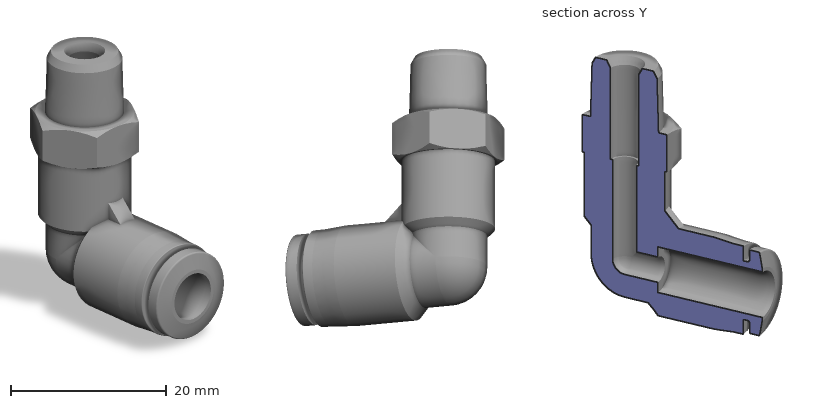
import cadquery as cq
import math


overall_height = 34.3
port_radius = 13.0 / 2

elbow_radius = 10.0 / 2
bore_radius = 3.5 / 2

sleeve_radius = 12 / 2
sleeve_cone_start = 4.0
sleeve_cone_end = sleeve_cone_start + sleeve_radius - elbow_radius

hex_flats = 12.7
hex_bottom = 14.0
hex_top = 19.3
hex_chamfer_angle = math.radians(30)

stem_top = overall_height - port_radius
stem_tip_height = 0.95
stem_root_radius = 10.2 / 2
stem_end_radius = 9.75 / 2
stem_tip_radius = 8.65 / 2
stem_bore_radius = 4.1 / 2
stem_bore_bottom = hex_bottom
countersink_radius = 5.28 / 2
countersink_depth = 1.03

port_cone_start = 3.5
port_cone_end = port_cone_start + port_radius - elbow_radius
port_taper_start = 13.3
port_taper_end = 16.33
port_end = 17.65
port_end_radius = 12.5 / 2
port_edge_fillet = 0.1
socket_radius = 6.35 / 2
socket_bottom = port_cone_end

collar_neck_radius = 8.35 / 2
collar_radius = 11.8 / 2
collar_start = 18.55
collar_rim_end = 20.1
collar_end = 20.5
collar_face_radius = 3.67
collar_root_fillet = 0.3
collar_edge_fillet = 0.2

rib_width = 2.5
rib_reach = 14.55


def revolve_about_z(points):
    """Solid of revolution about Z from (radius, height) points."""
    return cq.Workplane("XZ").polyline(points).close().revolve(360, (0, 0), (0, 1))


def revolve_about_x(points):
    """Solid of revolution about X from (x, radius) points."""
    return cq.Workplane("XZ").polyline(points).close().revolve(360, (0, 0), (1, 0))


def circle_at(x, radius):
    """Selector for the circular edge around X through (x, 0, radius)."""
    tolerance = 0.005
    low_corner = (x - tolerance, -radius - tolerance, -radius - tolerance)
    high_corner = (x + tolerance, radius + tolerance, radius + tolerance)
    return cq.selectors.BoxSelector(low_corner, high_corner, boundingbox=True)


def make_vertical_leg():
    return revolve_about_z([
        (0, 0),
        (elbow_radius, 0),
        (elbow_radius, sleeve_cone_start),
        (sleeve_radius, sleeve_cone_end),
        (sleeve_radius, hex_bottom),
        (stem_root_radius, hex_top),
        (stem_end_radius, stem_top - stem_tip_height),
        (stem_tip_radius, stem_top),
        (0, stem_top),
    ])


def make_hexagon():
    """Hexagon with flats facing +-X and conical chamfers on both ends."""
    flat_radius = hex_flats / 2
    corner_radius = flat_radius / math.cos(math.pi / 6)
    chamfer_height = (corner_radius - flat_radius) * math.tan(hex_chamfer_angle)
    prism = (
        cq.Workplane("XY", origin=(0, 0, hex_bottom))
        .transformed(rotate=(0, 0, 30))
        .polygon(6, 2 * corner_radius)
        .extrude(hex_top - hex_bottom)
    )
    envelope = revolve_about_z([
        (0, hex_bottom),
        (flat_radius, hex_bottom),
        (corner_radius, hex_bottom + chamfer_height),
        (corner_radius, hex_top - chamfer_height),
        (flat_radius, hex_top),
        (0, hex_top),
    ])
    return prism.intersect(envelope)


def make_port():
    port = revolve_about_x([
        (0, 0),
        (0, elbow_radius),
        (port_cone_start, elbow_radius),
        (port_cone_end, port_radius),
        (port_taper_start, port_radius),
        (port_taper_end, port_end_radius),
        (port_end, port_end_radius),
        (port_end, 0),
    ])
    return port.edges(circle_at(port_end, port_end_radius)).fillet(port_edge_fillet)


def make_collar():
    collar = revolve_about_x([
        (port_cone_end, 0),
        (port_cone_end, collar_neck_radius),
        (collar_start, collar_neck_radius),
        (collar_start, collar_radius),
        (collar_rim_end, collar_radius),
        (collar_end, collar_face_radius),
        (collar_end, 0),
    ])
    root_edge = circle_at(collar_start, collar_neck_radius)
    rim_edge = circle_at(collar_rim_end, collar_radius)
    return collar.edges(root_edge).fillet(collar_root_fillet).edges(rim_edge).fillet(collar_edge_fillet)


def make_rib():
    return (
        cq.Workplane("XZ")
        .polyline([(0, 0), (rib_reach, 0), (0, rib_reach)])
        .close()
        .extrude(rib_width / 2, both=True)
        .intersect(cq.Workplane("XY").box(2 * port_taper_start, rib_width, 2 * hex_bottom))
    )


def make_bores():
    stem_bore = revolve_about_z([
        (0, 0),
        (bore_radius, 0),
        (bore_radius, stem_bore_bottom),
        (stem_bore_radius, stem_bore_bottom),
        (stem_bore_radius, stem_top - countersink_depth),
        (countersink_radius, stem_top),
        (0, stem_top),
    ])
    port_bore = revolve_about_x([
        (0, 0),
        (0, bore_radius),
        (socket_bottom, bore_radius),
        (socket_bottom, socket_radius),
        (collar_end, socket_radius),
        (collar_end, 0),
    ])
    return stem_bore.union(port_bore).union(cq.Workplane("XY").sphere(bore_radius))


result = (
    make_vertical_leg()
    .union(make_hexagon())
    .union(cq.Workplane("XY").sphere(elbow_radius))
    .union(make_port())
    .union(make_collar())
    .union(make_rib())
    .cut(make_bores())
)